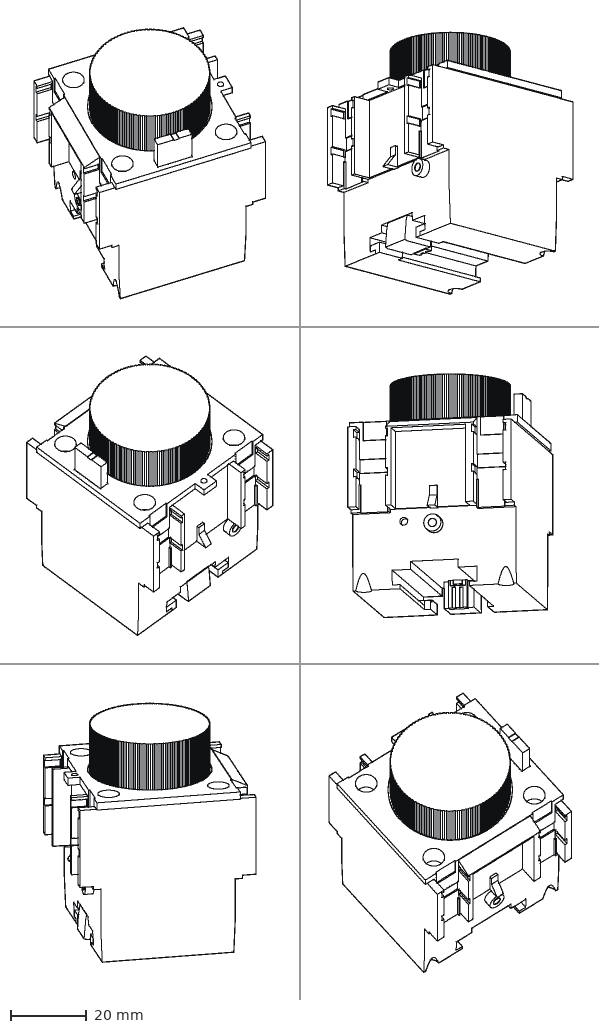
import cadquery as cq
import math

FRONT, REAR = -1, 1
LEFT, RIGHT = -1, 1
OVERLAP = 0.3

TOTAL_HEIGHT = 58.15
COVER_TOP = 45.4
COVER_THICKNESS = 2.05
COVER_BOTTOM = COVER_TOP - COVER_THICKNESS
BASE_BOTTOM = 0.25
TAPER_TOP = 9.9
FLANGE_BOTTOM = 21.7
SKIRT_BOTTOM = 20.8

COVER_HALF_X, COVER_HALF_Y = 22.85, 19.4
BODY_HALF_X, BODY_HALF_Y = 22.2, 18.25
BASE_FOOT_HALF_Y = 17.85
FLANGE_HALF_Y = 47.75 / 2
FLANGE_INNER_X = 20.0
SKIRT_HALF_Y = 20.25
WINDOW_HALF_Y = 18.85
HOOD_HALF_X = 11.9

KNOB_RADIUS = 15.95
KNOB_TOOTH_COUNT = 100
KNOB_FIRST_TOOTH_ANGLE = math.radians(0.7)
KNOB_TOOTH_DEPTH = 0.145
KNOB_RECESS_RADIUS, KNOB_RECESS_DEPTH = 16.45, 0.6
COVER_HOLE_X, COVER_HOLE_Y = 16.65, 14.9
COVER_HOLE_RADIUS, COVER_HOLE_DEPTH = 2.85, 5.8

SLIDER_X, SLIDER_WIDTH, SLIDER_TOP = 20.05, 2.3, 53.75
SLIDER_Y_MIN, SLIDER_Y_MAX = -6.75, 3.15
SLIDER_NOTCH_Y_MIN, SLIDER_NOTCH_Y_MAX, SLIDER_NOTCH_DEPTH = -2.05, -0.5, 0.25
SLIDER_CLEARANCE, SLIDER_SLOT_DEPTH = 0.25, 0.6

BAY_GROOVE_TOP, BAY_LEDGE, BAY_SLOPE_BOTTOM = 35.3, 31.6, 28.3
BAY_GROOVE_Y, BAY_LOWER_Y = 19.1, 19.65
BAY_RIB_WIDTH = 0.4
WIRE_POCKET_X_MIN, WIRE_POCKET_X_MAX = 12.8, 19.15
WIRE_POCKET_BOTTOM, WIRE_POCKET_DEPTH = 40.4, 0.35
TRACK_BOTTOMS, TRACK_HEIGHT = (29.85, 40.55), 2.05
FLANGE_TRACK_DEPTH, HOOD_TRACK_DEPTH = 0.7, 0.45

HOOD_RIDGE_Z, HOOD_EDGE_Z = 45.2, 43.05
WINDOW_TOP, WINDOW_X_MIN, WINDOW_X_MAX = 42.6, -10.4, 9.75
REAR_WALLS = ((-HOOD_HALF_X, -10.35), (10.75, HOOD_HALF_X))

LATCH_WIDTH, LATCH_TOP, LATCH_BEND, LATCH_BOTTOM = 2.1, 27.4, 24.8, 21.5
LATCH_UPPER_Y, LATCH_TIP_Y = 19.55, 22.1
BOSS_RADIUS, BOSS_END_Y, BOSS_HOLE_RADIUS, BOSS_HOLE_DEPTH = 2.3, 20.6, 1.1, 0.2
FRONT_BOSS_X, FRONT_BOSS_Z = 0.0, 17.15
REAR_BOSS_X, REAR_BOSS_Z = -11.65, 18.25
PIN_HOLE_X, PIN_HOLE_Z, PIN_HOLE_RADIUS, PIN_HOLE_DEPTH = -8.3, 18.3, 1.05, 1.75
LUG_WIDTH, LUG_END_Y, LUG_HOLE_Y, LUG_HOLE_RADIUS = 4.65, 22.75, 20.35, 0.8

CHANNEL_HALF_X, CHANNEL_TOP = 6.45, 7.45
RAIL_SLOT_HALF_X, RAIL_SLOT_BOTTOM, RAIL_SLOT_TOP = 11.5, 1.35, 5.3
LIP_TIP_X, STOP_TIP_X = 9.4, 7.75
STOP_NOSE_TOP, STOP_TOP = 2.6, 3.1
STOP_FRONT_Y, STOP_NOSE_LENGTH, STOP_LEAN = 10.05, 1.75, 0.9

CLIP_HALF_X, CLIP_HEEL_Y, CLIP_HEEL_TOP = 4.1, 18.7, 6.05
CLIP_HEEL_BOTTOM = 0.45
TONGUE_HALF_X, TONGUE_Y_MIN, TONGUE_Y_MAX = 2.5, 8.4, 10.05
TONGUE_TOP, TONGUE_GROOVE_DEPTH = 5.5, 0.45
TONGUE_GROOVE_X_MIN, TONGUE_GROOVE_X_MAX = 0.6, 1.45
CLIP_WINDOW_HALF_X, CLIP_WINDOW_BOTTOM = 2.1, 6.0
CLIP_BRIDGE_HALF_X, CLIP_BRIDGE_BOTTOM = 1.2, 6.4

NOTCH_X, NOTCH_TIP_Y, NOTCH_TIP_Z = 19.35, -19.9, 8.1
NOTCH_HALF_ANGLE = math.radians(14.7)
NOTCH_LENGTH = 11.65


def box(x_range, y_range, z_range):
    """Axis-aligned block between pairs of limits, given in either order."""
    ranges = [sorted(limits) for limits in (x_range, y_range, z_range)]
    size = [high - low for low, high in ranges]
    corner = [low for low, high in ranges]
    return cq.Workplane("XY").box(*size, centered=False).translate(tuple(corner))


def yz_prism(points, x_range):
    """Prism with a (Y, Z) outline, running along X between two limits."""
    x_min, x_max = sorted(x_range)
    return cq.Workplane("YZ", origin=(x_min, 0, 0)).polyline(points).close().extrude(x_max - x_min)


def y_cylinder(x, z, radius, y_range):
    """Cylinder along Y between two limits."""
    y_min, y_max = sorted(y_range)
    plane = cq.Plane(origin=(x, y_min, z), xDir=(1, 0, 0), normal=(0, 1, 0))
    return cq.Workplane(plane).circle(radius).extrude(y_max - y_min)


def housing():
    """Upper body, tapered base, side flanges with their skirts, and the cover."""
    base = yz_prism(
        [
            (-BASE_FOOT_HALF_Y, BASE_BOTTOM),
            (BASE_FOOT_HALF_Y, BASE_BOTTOM),
            (BODY_HALF_Y, TAPER_TOP),
            (BODY_HALF_Y, COVER_TOP),
            (-BODY_HALF_Y, COVER_TOP),
            (-BODY_HALF_Y, TAPER_TOP),
        ],
        (-BODY_HALF_X, BODY_HALF_X),
    )
    window_wall = box(
        (-HOOD_HALF_X, HOOD_HALF_X), (-WINDOW_HALF_Y, WINDOW_HALF_Y), (FLANGE_BOTTOM, COVER_TOP)
    )
    cover = box(
        (-COVER_HALF_X, COVER_HALF_X), (-COVER_HALF_Y, COVER_HALF_Y), (COVER_BOTTOM, COVER_TOP)
    )
    body = base.union(window_wall).union(cover)
    for side in (LEFT, RIGHT):
        x_range = (side * FLANGE_INNER_X, side * BODY_HALF_X)
        flange = box(x_range, (-FLANGE_HALF_Y, FLANGE_HALF_Y), (FLANGE_BOTTOM, COVER_BOTTOM))
        skirt = box(x_range, (-SKIRT_HALF_Y, SKIRT_HALF_Y), (SKIRT_BOTTOM, FLANGE_BOTTOM))
        body = body.union(flange).union(skirt)
    return body


def terminal_bay(side, end):
    """Stepped panel at the back of one terminal bay, with a rib along each lower edge."""
    outline = [
        (0, SKIRT_BOTTOM),
        (end * BAY_LOWER_Y, SKIRT_BOTTOM),
        (end * BAY_LOWER_Y, BAY_SLOPE_BOTTOM),
        (end * COVER_HALF_Y, BAY_LEDGE),
        (end * BAY_GROOVE_Y, BAY_LEDGE),
        (end * BAY_GROOVE_Y, BAY_GROOVE_TOP),
        (end * COVER_HALF_Y, BAY_GROOVE_TOP),
        (end * COVER_HALF_Y, COVER_BOTTOM),
        (0, COVER_BOTTOM),
    ]
    bay = yz_prism(outline, (side * HOOD_HALF_X, side * FLANGE_INNER_X))
    rib_y = (end * BODY_HALF_Y, end * SKIRT_HALF_Y)
    for rib_start in (HOOD_HALF_X, FLANGE_INNER_X - BAY_RIB_WIDTH):
        rib_x = (side * rib_start, side * (rib_start + BAY_RIB_WIDTH))
        bay = bay.union(box(rib_x, rib_y, (SKIRT_BOTTOM, BAY_SLOPE_BOTTOM)))
    return bay


def bay_cuts(side, end):
    """Wire pocket and the tracks cut into the two walls of one terminal bay."""
    cuts = box(
        (side * WIRE_POCKET_X_MIN, side * WIRE_POCKET_X_MAX),
        (end * (COVER_HALF_Y - WIRE_POCKET_DEPTH), end * FLANGE_HALF_Y),
        (WIRE_POCKET_BOTTOM, COVER_TOP),
    )
    track_y = (end * BAY_LOWER_Y, end * FLANGE_HALF_Y)
    track_x = (side * (HOOD_HALF_X - HOOD_TRACK_DEPTH), side * (FLANGE_INNER_X + FLANGE_TRACK_DEPTH))
    for bottom in TRACK_BOTTOMS:
        cuts = cuts.union(box(track_x, track_y, (bottom, bottom + TRACK_HEIGHT)))
    return cuts


def front_hood():
    """Hood with a sloping roof around the front window, open at the bottom."""
    outline = [
        (-BODY_HALF_Y, FLANGE_BOTTOM),
        (-FLANGE_HALF_Y, FLANGE_BOTTOM),
        (-FLANGE_HALF_Y, HOOD_EDGE_Z),
        (-COVER_HALF_Y, HOOD_RIDGE_Z),
        (-BODY_HALF_Y, HOOD_RIDGE_Z),
    ]
    hood = yz_prism(outline, (-HOOD_HALF_X, HOOD_HALF_X))
    window = box(
        (WINDOW_X_MIN, WINDOW_X_MAX), (-FLANGE_HALF_Y, -WINDOW_HALF_Y), (FLANGE_BOTTOM, WINDOW_TOP)
    )
    return hood.cut(window)


def latch(end):
    """Small bent latch standing on the window wall."""
    outline = [
        (end * BODY_HALF_Y, LATCH_BOTTOM),
        (end * LATCH_TIP_Y, LATCH_BOTTOM),
        (end * LATCH_UPPER_Y, LATCH_BEND),
        (end * LATCH_UPPER_Y, LATCH_TOP),
        (end * BODY_HALF_Y, LATCH_TOP),
    ]
    return yz_prism(outline, (-LATCH_WIDTH / 2, LATCH_WIDTH / 2))


def boss(x, z, end):
    """Round boss with a shallow blind hole in its end."""
    post = y_cylinder(x, z, BOSS_RADIUS, (end * (BODY_HALF_Y - OVERLAP), end * BOSS_END_Y))
    hole_y = (end * (BOSS_END_Y - BOSS_HOLE_DEPTH), end * BOSS_END_Y)
    return post.cut(y_cylinder(x, z, BOSS_HOLE_RADIUS, hole_y))


def rear_lug():
    """Drilled tab at the rear edge of the cover."""
    lug = box(
        (-LUG_WIDTH / 2, LUG_WIDTH / 2), (COVER_HALF_Y - OVERLAP, LUG_END_Y), (COVER_BOTTOM, COVER_TOP)
    )
    hole = cq.Workplane("XY", origin=(0, LUG_HOLE_Y, COVER_BOTTOM)).circle(LUG_HOLE_RADIUS)
    return lug.cut(hole.extrude(COVER_THICKNESS))


def knob():
    """Round knob with square teeth all around its edge."""
    bottom = COVER_TOP - KNOB_RECESS_DEPTH - OVERLAP
    step = 2 * math.pi / KNOB_TOOTH_COUNT
    root_radius = KNOB_RADIUS - KNOB_TOOTH_DEPTH

    def at(radius, angle):
        return (radius * math.cos(angle), radius * math.sin(angle))

    outline = cq.Workplane("XY", origin=(0, 0, bottom))
    outline = outline.moveTo(*at(root_radius, KNOB_FIRST_TOOTH_ANGLE))
    for tooth in range(KNOB_TOOTH_COUNT):
        start = KNOB_FIRST_TOOTH_ANGLE + tooth * step
        outline = (
            outline.lineTo(*at(KNOB_RADIUS, start))
            .threePointArc(at(KNOB_RADIUS, start + step / 4), at(KNOB_RADIUS, start + step / 2))
            .lineTo(*at(root_radius, start + step / 2))
            .threePointArc(at(root_radius, start + 3 * step / 4), at(root_radius, start + step))
        )
    return outline.close().extrude(TOTAL_HEIGHT - bottom)


def slider():
    """Upright slider blade with a shallow notch across its top."""
    x_range = (SLIDER_X - SLIDER_WIDTH / 2, SLIDER_X + SLIDER_WIDTH / 2)
    bottom = COVER_TOP - SLIDER_SLOT_DEPTH - OVERLAP
    blade = box(x_range, (SLIDER_Y_MIN, SLIDER_Y_MAX), (bottom, SLIDER_TOP))
    notch_z = (SLIDER_TOP - SLIDER_NOTCH_DEPTH, SLIDER_TOP)
    return blade.cut(box(x_range, (SLIDER_NOTCH_Y_MIN, SLIDER_NOTCH_Y_MAX), notch_z))


def cover_cuts():
    """Knob recess, slider slot and the four screw holes in the cover."""
    cuts = (
        cq.Workplane("XY", origin=(0, 0, COVER_TOP))
        .circle(KNOB_RECESS_RADIUS)
        .extrude(-KNOB_RECESS_DEPTH)
    )
    slot_half_x = SLIDER_WIDTH / 2 + SLIDER_CLEARANCE
    slot = box(
        (SLIDER_X - slot_half_x, SLIDER_X + slot_half_x),
        (SLIDER_Y_MIN, SLIDER_Y_MAX),
        (COVER_TOP - SLIDER_SLOT_DEPTH, COVER_TOP),
    )
    holes = (
        cq.Workplane("XY", origin=(0, 0, COVER_TOP))
        .rect(2 * COVER_HOLE_X, 2 * COVER_HOLE_Y, forConstruction=True)
        .vertices()
        .circle(COVER_HOLE_RADIUS)
        .extrude(-COVER_HOLE_DEPTH)
    )
    return cuts.union(slot).union(holes)


def rail_channel():
    """Stepped channel for the mounting rail, running through along Y."""
    y_range = (-BODY_HALF_Y, BODY_HALF_Y)
    centre = box((-CHANNEL_HALF_X, CHANNEL_HALF_X), y_range, (0, CHANNEL_TOP))
    slot = box(
        (-RAIL_SLOT_HALF_X, RAIL_SLOT_HALF_X), y_range, (RAIL_SLOT_BOTTOM, RAIL_SLOT_TOP)
    )
    mouth = box((-LIP_TIP_X, LIP_TIP_X), y_range, (0, RAIL_SLOT_BOTTOM))
    return centre.union(slot).union(mouth)


def rail_stop(side):
    """Block closing the rear of one rail slot, with a low nose at the lip."""
    block_start = STOP_FRONT_Y + STOP_NOSE_LENGTH
    nose = box(
        (side * STOP_TIP_X, side * LIP_TIP_X),
        (STOP_FRONT_Y, block_start + STOP_LEAN),
        (BASE_BOTTOM, STOP_NOSE_TOP),
    )
    outline = [
        (block_start + STOP_LEAN, BASE_BOTTOM),
        (block_start, STOP_TOP),
        (BASE_FOOT_HALF_Y, STOP_TOP),
        (BASE_FOOT_HALF_Y, BASE_BOTTOM),
    ]
    block = yz_prism(outline, (side * STOP_TIP_X, side * (RAIL_SLOT_HALF_X + OVERLAP)))
    return nose.union(block)


def rail_clip():
    """Clip in the rear of the channel; its grooved tongue has a window with a small bridge inside."""
    outline = [
        (TONGUE_Y_MAX, BASE_BOTTOM),
        (BASE_FOOT_HALF_Y, BASE_BOTTOM),
        (CLIP_HEEL_Y, CLIP_HEEL_BOTTOM),
        (BODY_HALF_Y, CLIP_HEEL_TOP),
        (BASE_FOOT_HALF_Y, CHANNEL_TOP + OVERLAP),
        (TONGUE_Y_MAX, CHANNEL_TOP + OVERLAP),
    ]
    clip = yz_prism(outline, (-CLIP_HALF_X, CLIP_HALF_X))
    tongue_y = (TONGUE_Y_MIN, TONGUE_Y_MAX + OVERLAP)
    groove_y = (TONGUE_Y_MIN, TONGUE_Y_MIN + TONGUE_GROOVE_DEPTH)
    clip = clip.union(box((-TONGUE_HALF_X, TONGUE_HALF_X), tongue_y, (0, CHANNEL_TOP + OVERLAP)))
    window = box(
        (-CLIP_WINDOW_HALF_X, CLIP_WINDOW_HALF_X), groove_y, (CLIP_WINDOW_BOTTOM, CHANNEL_TOP)
    )
    bridge = box(
        (-CLIP_BRIDGE_HALF_X, CLIP_BRIDGE_HALF_X),
        groove_y,
        (CLIP_BRIDGE_BOTTOM, CHANNEL_TOP + OVERLAP),
    )
    clip = clip.cut(window).union(bridge)
    for side in (LEFT, RIGHT):
        groove_x = (side * TONGUE_GROOVE_X_MIN, side * TONGUE_GROOVE_X_MAX)
        clip = clip.cut(box(groove_x, groove_y, (0, TONGUE_TOP)))
    return clip


def screwdriver_notch(side):
    """Leaning cone that widens downwards and inwards, cut into the front foot of the base.

    The lean equals the half angle, so the outermost line of the cone is vertical.
    """
    tip = cq.Vector(side * NOTCH_X, NOTCH_TIP_Y, NOTCH_TIP_Z)
    axis = cq.Vector(0, math.sin(NOTCH_HALF_ANGLE), -math.cos(NOTCH_HALF_ANGLE))
    base_radius = NOTCH_LENGTH * math.tan(NOTCH_HALF_ANGLE)
    cone = cq.Solid.makeCone(0, base_radius, NOTCH_LENGTH, pnt=tip, dir=axis)
    return cq.Workplane(cone)


part = housing().union(front_hood())
for wall_x in REAR_WALLS:
    part = part.union(box(wall_x, (BODY_HALF_Y, FLANGE_HALF_Y), (FLANGE_BOTTOM, COVER_BOTTOM)))
for side in (LEFT, RIGHT):
    for end in (FRONT, REAR):
        part = part.union(terminal_bay(side, end))
        part = part.cut(bay_cuts(side, end))

for end in (FRONT, REAR):
    part = part.union(latch(end))
part = part.union(boss(FRONT_BOSS_X, FRONT_BOSS_Z, FRONT))
part = part.union(boss(REAR_BOSS_X, REAR_BOSS_Z, REAR))
part = part.union(rear_lug())
pin_hole_y = (-BODY_HALF_Y, PIN_HOLE_DEPTH - BODY_HALF_Y)
part = part.cut(y_cylinder(PIN_HOLE_X, PIN_HOLE_Z, PIN_HOLE_RADIUS, pin_hole_y))

part = part.cut(cover_cuts()).union(knob()).union(slider())

part = part.cut(rail_channel()).union(rail_clip())
for side in (LEFT, RIGHT):
    part = part.union(rail_stop(side)).cut(screwdriver_notch(side))

result = part